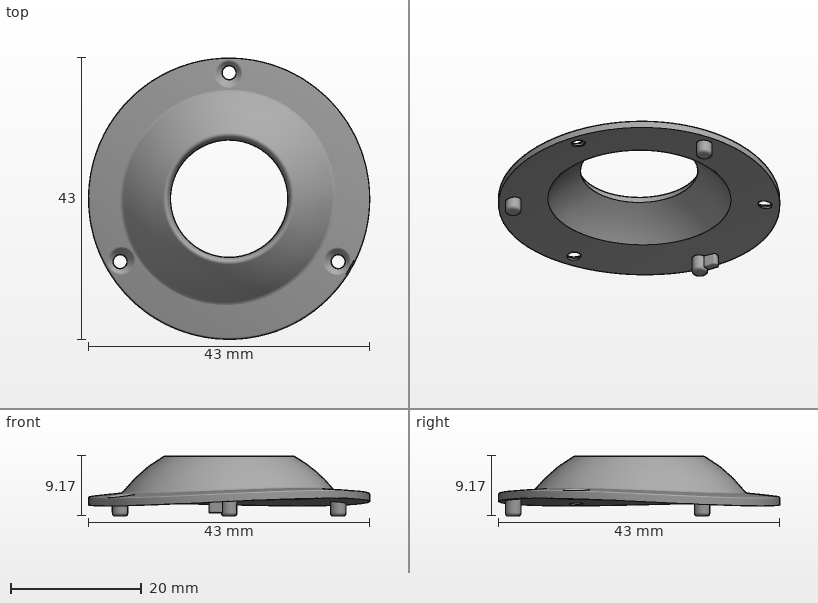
import math

import cadquery as cq

TOTAL_HEIGHT = 9.17
FLANGE_RADIUS = 21.5
FLANGE_THICKNESS = 1.22
RIM_FILLET = 0.25

BARREL_AXIS_ANGLE = 135
BARREL_HOOP_RADIUS = 142
BARREL_PROFILE_RADIUS = 262
BARREL_CROWN_OFFSET = -4.6
BARREL_CROWN_Z = 4.52
BARREL_HALF_LENGTH = 30

DOME_RADIUS = 20.4
DOME_TOP_RADIUS = 10.05
DOME_FOOT_FILLET = 0.6
FOOT_SEARCH = 1.2

TOP_EDGE_FILLET = 0.5
LIP_TAPER = math.radians(20)
LIP_LOWER_RADIUS = 8.95

TOP_EDGE_Z = TOTAL_HEIGHT - TOP_EDGE_FILLET
TOP_EDGE_RADIUS = DOME_TOP_RADIUS * (1 - TOP_EDGE_FILLET / DOME_RADIUS)
DOME_CENTER_Z = TOP_EDGE_Z - math.sqrt((DOME_RADIUS - TOP_EDGE_FILLET) ** 2 - TOP_EDGE_RADIUS**2)
LIP_UPPER_RADIUS = TOP_EDGE_RADIUS - TOP_EDGE_FILLET * math.cos(LIP_TAPER)
LIP_UPPER_Z = TOP_EDGE_Z + TOP_EDGE_FILLET * math.sin(LIP_TAPER)
LIP_LOWER_Z = LIP_UPPER_Z - (LIP_UPPER_RADIUS - LIP_LOWER_RADIUS) / math.tan(LIP_TAPER)

HOLLOW_RADIUS = 16.35
HOLLOW_CENTER_Z = LIP_LOWER_Z - math.sqrt(HOLLOW_RADIUS**2 - LIP_LOWER_RADIUS**2)

FASTENER_COUNT = 3
FASTENER_CIRCLE_RADIUS = 19.24
FIRST_HOLE_ANGLE = 90
HOLE_RADIUS = 1.05
COUNTERSINK_RADIUS = 1.98
COUNTERSINK_EDGE_FILLET = 0.3

FIRST_PEG_ANGLE = FIRST_HOLE_ANGLE + 180
PEG_RADIUS = 1.2
PEG_TIP_FILLET = 0.5

FIN_LENGTH = 3.08
FIN_WIDTH = 1.2
FIN_END_FILLET = 0.4
FIN_BOTTOM_FILLET = 0.2


def circle_positions(first_angle):
    """Centres of the fasteners, evenly spaced on their pitch circle."""
    step = 360 / FASTENER_COUNT
    angles = [math.radians(first_angle + step * i) for i in range(FASTENER_COUNT)]
    return [(FASTENER_CIRCLE_RADIUS * math.cos(a), FASTENER_CIRCLE_RADIUS * math.sin(a)) for a in angles]


def profile_drop(along):
    """Sag of the barrel profile at a distance along the barrel axis."""
    distance = along - BARREL_CROWN_OFFSET
    return BARREL_PROFILE_RADIUS - math.sqrt(BARREL_PROFILE_RADIUS**2 - distance**2)


def flange_height(x, y):
    """Z of the flange's upper surface at (x, y)."""
    angle = math.radians(BARREL_AXIS_ANGLE)
    along = x * math.cos(angle) + y * math.sin(angle)
    across = -x * math.sin(angle) + y * math.cos(angle)
    hoop = BARREL_HOOP_RADIUS - profile_drop(along)
    return BARREL_CROWN_Z - BARREL_HOOP_RADIUS + math.sqrt(hoop**2 - across**2)


def barrel(inset):
    """Solid barrel whose skin lies `inset` below the flange's upper surface."""
    axis_z = BARREL_CROWN_Z - BARREL_HOOP_RADIUS
    crown_z = BARREL_CROWN_Z - inset
    arc_radius = BARREL_PROFILE_RADIUS - inset
    end_z = crown_z - arc_radius + math.sqrt(arc_radius**2 - BARREL_HALF_LENGTH**2)
    left = BARREL_CROWN_OFFSET - BARREL_HALF_LENGTH
    right = BARREL_CROWN_OFFSET + BARREL_HALF_LENGTH
    return (
        cq.Workplane("XZ")
        .moveTo(left, axis_z)
        .lineTo(left, end_z)
        .threePointArc((BARREL_CROWN_OFFSET, crown_z), (right, end_z))
        .lineTo(right, axis_z)
        .close()
        .revolve(360, (0, axis_z, 0), (1, axis_z, 0))
        .rotate((0, 0, 0), (0, 0, 1), BARREL_AXIS_ANGLE)
    )


def sphere_point(radius, center_z, elevation):
    """Point (r, z) of a sphere centred on the Z axis, `elevation` radians above its equator."""
    return radius * math.cos(elevation), center_z + radius * math.sin(elevation)


def make_dome():
    """Dome down to Z = 0, closed inside up to the lower end of the lip."""
    base_elevation = math.asin(-DOME_CENTER_Z / DOME_RADIUS)
    top_elevation = math.acos(DOME_TOP_RADIUS / DOME_RADIUS)
    middle_elevation = (base_elevation + top_elevation) / 2
    return (
        cq.Workplane("XZ")
        .lineTo(*sphere_point(DOME_RADIUS, DOME_CENTER_Z, base_elevation))
        .threePointArc(
            sphere_point(DOME_RADIUS, DOME_CENTER_Z, middle_elevation),
            sphere_point(DOME_RADIUS, DOME_CENTER_Z, top_elevation),
        )
        .threePointArc((TOP_EDGE_RADIUS, TOTAL_HEIGHT), (LIP_UPPER_RADIUS, LIP_UPPER_Z))
        .lineTo(LIP_LOWER_RADIUS, LIP_LOWER_Z)
        .lineTo(0, LIP_LOWER_Z)
        .close()
        .revolve(360, (0, 0, 0), (0, 1, 0))
    )


def make_hollow():
    """Spherical space under the dome, flat where it meets the lip."""
    base_elevation = math.asin(-HOLLOW_CENTER_Z / HOLLOW_RADIUS)
    top_elevation = math.acos(LIP_LOWER_RADIUS / HOLLOW_RADIUS)
    middle_elevation = (base_elevation + top_elevation) / 2
    return (
        cq.Workplane("XZ")
        .lineTo(*sphere_point(HOLLOW_RADIUS, HOLLOW_CENTER_Z, base_elevation))
        .threePointArc(
            sphere_point(HOLLOW_RADIUS, HOLLOW_CENTER_Z, middle_elevation),
            (LIP_LOWER_RADIUS, LIP_LOWER_Z),
        )
        .lineTo(0, LIP_LOWER_Z)
        .close()
        .revolve(360, (0, 0, 0), (0, 1, 0))
    )


def edges_centred_in(center, size):
    """Selector for edges whose centres lie in a cube of the given size."""
    x, y, z = center
    half = size / 2
    return cq.selectors.BoxSelector((x - half, y - half, z - half), (x + half, y + half, z + half))


def make_shell():
    """Dome and curved flange as one hollow shell, its rim and foot rounded."""
    blank = cq.Workplane("XY").circle(FLANGE_RADIUS).extrude(TOTAL_HEIGHT)
    flange = blank.intersect(barrel(0)).faces(">Z").edges().fillet(RIM_FILLET)
    foot_edge = edges_centred_in((0, 0, BARREL_CROWN_Z - FOOT_SEARCH / 2), FOOT_SEARCH)
    outside = flange.union(make_dome()).edges(foot_edge).fillet(DOME_FOOT_FILLET)
    return outside.cut(barrel(FLANGE_THICKNESS)).cut(make_hollow())


def screw_hole_tool(x, y):
    """Through hole with a 45 degree countersink that opens at the flange surface."""
    surface_z = flange_height(x, y)
    depth = COUNTERSINK_RADIUS - HOLE_RADIUS
    return (
        cq.Workplane("XZ", origin=(x, y, surface_z))
        .moveTo(0, -surface_z)
        .lineTo(HOLE_RADIUS, -surface_z)
        .lineTo(HOLE_RADIUS, -depth)
        .lineTo(COUNTERSINK_RADIUS + depth, depth)
        .lineTo(0, depth)
        .close()
        .revolve(360, (0, 0, 0), (0, 1, 0))
    )


def add_screw_hole(body, x, y):
    """Cut a screw hole and round its countersink's edge."""
    mouth_edge = edges_centred_in((x, y, flange_height(x, y)), HOLE_RADIUS)
    return body.cut(screw_hole_tool(x, y)).edges(mouth_edge).fillet(COUNTERSINK_EDGE_FILLET)


def embedded_z(x, y):
    """Height in the middle of the flange thickness, where pegs take root."""
    return flange_height(x, y) - FLANGE_THICKNESS / 2


def make_peg(x, y):
    """Locating peg with a rounded tip at Z = 0."""
    return (
        cq.Workplane("XY", origin=(x, y, 0))
        .circle(PEG_RADIUS)
        .extrude(embedded_z(x, y))
        .faces("<Z")
        .fillet(PEG_TIP_FILLET)
    )


def make_fin(x, y):
    """Fin reaching from a peg's axis toward -X, level with the foot of the tip rounding."""
    height = embedded_z(x - FIN_LENGTH, y) - PEG_TIP_FILLET
    return (
        cq.Workplane("XY", origin=(x - FIN_LENGTH / 2, y, PEG_TIP_FILLET))
        .box(FIN_LENGTH, FIN_WIDTH, height, centered=(True, True, False))
        .edges("|Z and <X")
        .fillet(FIN_END_FILLET)
        .faces("<Z")
        .fillet(FIN_BOTTOM_FILLET)
    )


result = make_shell()
for hole_x, hole_y in circle_positions(FIRST_HOLE_ANGLE):
    result = add_screw_hole(result, hole_x, hole_y)

peg_positions = circle_positions(FIRST_PEG_ANGLE)
for peg_x, peg_y in peg_positions:
    result = result.union(make_peg(peg_x, peg_y))
result = result.union(make_fin(*peg_positions[0]))